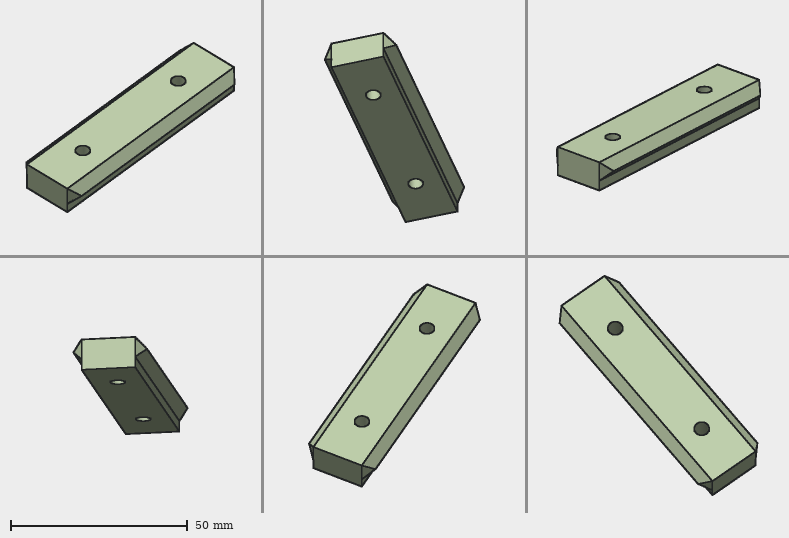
import cadquery as cq

overall_width = 21.2
core_width = 15.4
length = 70.0
height = 8.9

ridge_depth = (overall_width - core_width) / 2
ridge_height = 2 * ridge_depth

hole_diameter = 4.2
hole_spacing = 40.05


def hipped_ridge():
    """Ridge on the +X side: a triangular prism with its ends sloped at 45 degrees."""
    half_core = core_width / 2
    crest_x = half_core + ridge_depth
    prism = (
        cq.Workplane("XZ")
        .moveTo(half_core, height)
        .lineTo(crest_x, height - ridge_depth)
        .lineTo(half_core, height - ridge_height)
        .close()
        .extrude(length / 2, both=True)
    )
    outline = (
        cq.Workplane("XY")
        .moveTo(half_core, -length / 2)
        .lineTo(crest_x, ridge_depth - length / 2)
        .lineTo(crest_x, length / 2 - ridge_depth)
        .lineTo(half_core, length / 2)
        .close()
        .extrude(height)
    )
    return prism.intersect(outline)


core = cq.Workplane("XY").box(core_width, length, height, centered=(True, True, False))
ridge = hipped_ridge()
bar = core.union(ridge).union(ridge.mirror("YZ"))

result = (
    bar.faces(">Z")
    .workplane(origin=(0, 0, height))
    .pushPoints([(0, -hole_spacing / 2), (0, hole_spacing / 2)])
    .hole(hole_diameter)
)